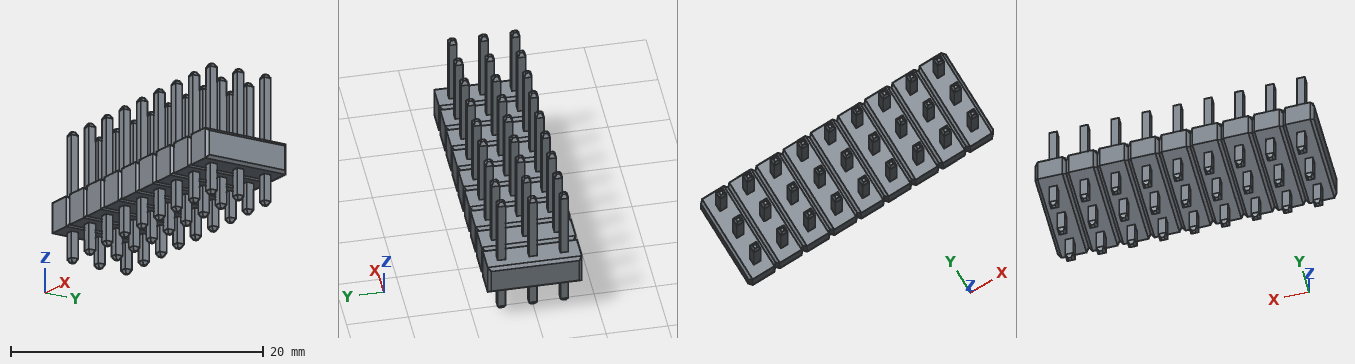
import cadquery as cq

length = 22.85
columns = 9
rows = 3
pitch = length / columns

body_height = pitch
body_width = rows * pitch
edge_chamfer = 0.25

pin_size = 0.65
pin_above = 5.85
pin_below = pitch
tip_length = 0.32
tip_size = 0.27


def make_block(x):
    """One row-wide body block with chamfered rims on both X faces."""
    block = cq.Workplane("XY").box(pitch, body_width, body_height)
    return block.faces("<X or >X").edges().chamfer(edge_chamfer).translate((x, 0, 0))


def make_tip(base_z, direction):
    """Truncated pyramid at a pin end, growing along Z in the given direction."""
    return (
        cq.Workplane("XY")
        .workplane(offset=base_z)
        .rect(pin_size, pin_size)
        .workplane(offset=direction * tip_length)
        .rect(tip_size, tip_size)
        .loft(ruled=True)
    )


def make_pin():
    """Square pin on the Z axis, tapered at both ends."""
    shank_top = body_height / 2 + pin_above - tip_length
    shank_bottom = -body_height / 2 - pin_below + tip_length
    shank = (
        cq.Workplane("XY")
        .workplane(offset=shank_bottom)
        .rect(pin_size, pin_size)
        .extrude(shank_top - shank_bottom)
    )
    return shank.union(make_tip(shank_top, 1)).union(make_tip(shank_bottom, -1))


def centred_positions(count):
    """Pitch-spaced positions, symmetric about zero."""
    return [(i - (count - 1) / 2) * pitch for i in range(count)]


pin = make_pin()
result = cq.Workplane("XY")
for x in centred_positions(columns):
    result = result.union(make_block(x))
    for y in centred_positions(rows):
        result = result.union(pin.translate((x, y, 0)))